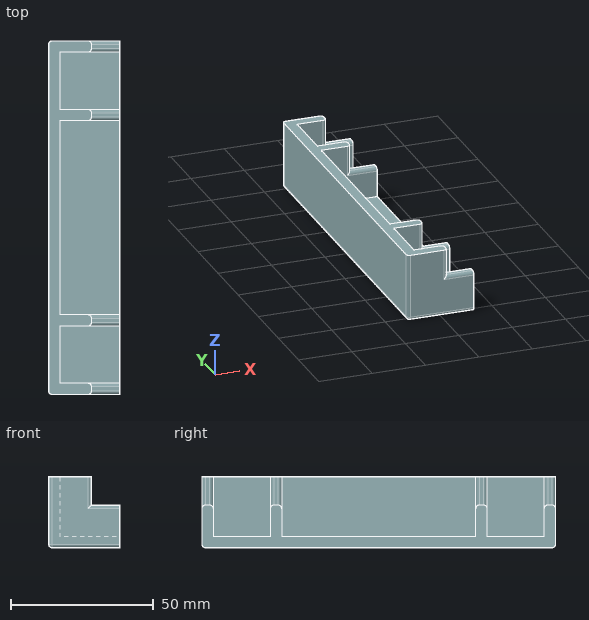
import cadquery as cq

length = 124.0
depth = 25.0
height = 25.0

wall = 4.0
bay_width = 20.0
step_x = 15.0
step_z = 15.0
edge_radius = 1.25

end_y = length / 2 - wall
inner_y = end_y - bay_width - wall
rib_starts = [-length / 2, -inner_y - wall, inner_y, end_y]


def make_channel():
    """Back wall and floor as one L-shaped extrusion along Y."""
    profile = [(0, 0), (depth, 0), (depth, wall), (wall, wall), (wall, height), (0, height)]
    return cq.Workplane("XZ").polyline(profile).close().extrude(length / 2, both=True)


def make_rib(y_start):
    """Stepped rib: a tall slab and a low slab whose rounded edges meet in a mitre at the step."""
    tall_slab = cq.Workplane("XY").box(step_x, wall, height, centered=False)
    tall_slab = tall_slab.edges("|Z and >X").fillet(edge_radius)
    low_slab = cq.Workplane("XY").box(depth, wall, step_z, centered=False)
    low_slab = low_slab.edges("|X and >Z").fillet(edge_radius)
    return tall_slab.union(low_slab).translate((0, y_start, 0))


def make_outer_envelope():
    """Full-size block with its bottom and rear upright edges rounded; the front face stays sharp."""
    block = cq.Workplane("XY").box(depth, length, height, centered=(False, True, False))
    bottom_and_rear = "(<Z and (not >X)) or (|Z and <X)"
    return block.edges(bottom_and_rear).fillet(edge_radius)


body = make_channel()
for rib_start in rib_starts:
    body = body.union(make_rib(rib_start))

result = body.intersect(make_outer_envelope())